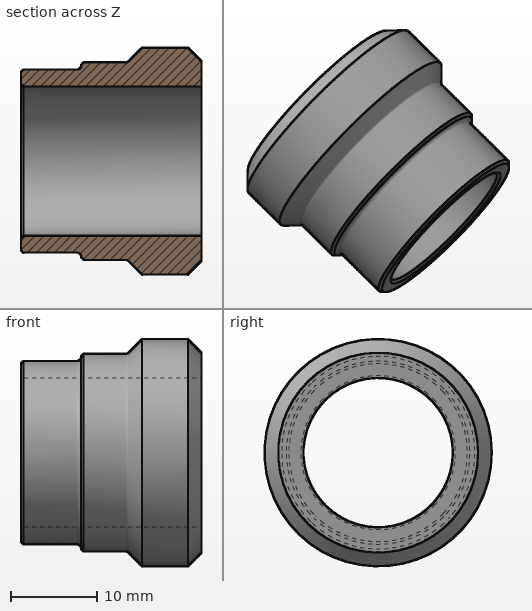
import cadquery as cq
import math

bore_diameter = 17.3
spigot_diameter = 21.3
neck_diameter = 23.0
collar_diameter = 26.4

length = 21.0
shoulder_x = 7.0
collar_x = 14.08

spigot_chamfer = 0.3
shoulder_fillet = 0.5
neck_chamfer = 0.3
collar_chamfer = 1.6
cone_fillet = 0.4

bore_radius = bore_diameter / 2
spigot_radius = spigot_diameter / 2
neck_radius = neck_diameter / 2
collar_radius = collar_diameter / 2

cone_angle = math.radians(45)
cone_start_x = collar_x - (collar_radius - neck_radius) / math.tan(cone_angle)
cone_fillet_x = cone_start_x - cone_fillet * math.tan(cone_angle / 2)


def concave_arc_point(start_x, start_radius, fillet, turn):
    """Point on a concave fillet that leaves a cylinder tangentially and has turned by the given angle."""
    return (
        start_x + fillet * math.sin(turn),
        start_radius + fillet * (1 - math.cos(turn)),
    )


def shoulder_arc(turn):
    return concave_arc_point(shoulder_x - shoulder_fillet, spigot_radius, shoulder_fillet, turn)


def cone_arc(turn):
    return concave_arc_point(cone_fillet_x, neck_radius, cone_fillet, turn)


def sleeve():
    """Half section in (X, radius), revolved about X."""
    shoulder_turn = math.radians(90)
    half_section = (
        cq.Workplane("XY")
        .moveTo(spigot_chamfer, bore_radius)
        .lineTo(0, bore_radius + spigot_chamfer)
        .lineTo(0, spigot_radius - spigot_chamfer)
        .lineTo(spigot_chamfer, spigot_radius)
        .lineTo(shoulder_x - shoulder_fillet, spigot_radius)
        .threePointArc(shoulder_arc(shoulder_turn / 2), shoulder_arc(shoulder_turn))
        .lineTo(shoulder_x, neck_radius - neck_chamfer)
        .lineTo(shoulder_x + neck_chamfer, neck_radius)
        .lineTo(cone_fillet_x, neck_radius)
        .threePointArc(cone_arc(cone_angle / 2), cone_arc(cone_angle))
        .lineTo(collar_x, collar_radius)
        .lineTo(length - collar_chamfer, collar_radius)
        .lineTo(length, collar_radius - collar_chamfer)
        .lineTo(length, bore_radius)
        .close()
    )
    return half_section.revolve(360, (0, 0, 0), (1, 0, 0))


result = sleeve()